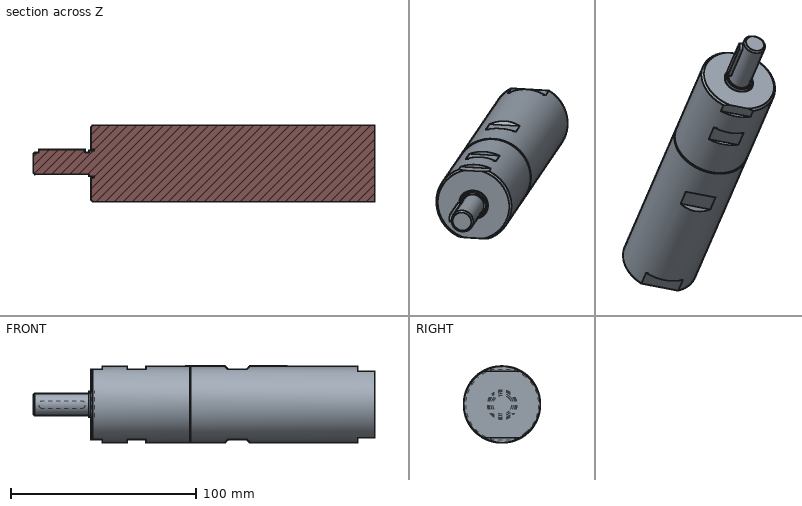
import cadquery as cq

length = 184.5
body_diameter = 41.5
body_radius = body_diameter / 2
body_start = 31.2
body_front_chamfer = 1.1

shaft_diameter = 12.0
shaft_tip_chamfer = 1.0
shoulder_diameter = 14.0
shoulder_start = 30.0

bore_diameter = 15.0
bore_mouth_diameter = 16.0
bore_chamfer = (bore_mouth_diameter - bore_diameter) / 2
bore_depth = 1.8

key_start = 3.0
key_length = 25.0
key_width = 4.0
key_top = 7.5
key_bottom = 3.7

groove_start = 84.5
groove_width = 0.5
groove_depth = 0.28

flat_across = 38.0
front_flat_end = 37.3
second_flat_start = 51.0
second_flat_end = 60.9
middle_flat_start = 105.2
middle_flat_end = 115.3
rear_flat_start = 175.3
rear_flat_across = 36.0


def rod(start, end, diameter):
    """Cylinder along X from start to end."""
    return cq.Workplane("YZ", origin=(start, 0, 0)).circle(diameter / 2).extrude(end - start)


def flat_pair(start, end, across, ramped=False):
    """Cutters for two opposite flats; ramped ends rise at 45 degrees."""
    half_across = across / 2
    cutter_height = body_diameter - across
    outer = half_across + cutter_height
    ramp_run = cutter_height if ramped else 0.0
    upper = (
        cq.Workplane("XZ")
        .polyline(
            [
                (start, half_across),
                (end, half_across),
                (end + ramp_run, outer),
                (start - ramp_run, outer),
            ]
        )
        .close()
        .extrude(body_radius, both=True)
    )
    return upper.union(upper.mirror("XY"))


body = rod(body_start, length, body_diameter).faces("<X").chamfer(body_front_chamfer)

groove_end = groove_start + groove_width
groove_core = rod(groove_start, groove_end, body_diameter - 2 * groove_depth)
groove = rod(groove_start, groove_end, body_diameter).cut(groove_core)
body = body.cut(groove)

body = body.cut(flat_pair(body_start, front_flat_end, flat_across))
body = body.cut(flat_pair(second_flat_start, second_flat_end, flat_across))
body = body.cut(flat_pair(middle_flat_start, middle_flat_end, flat_across, ramped=True))
body = body.cut(flat_pair(rear_flat_start, length, rear_flat_across))

bore_end = body_start + bore_depth
bore_mouth = (
    cq.Workplane("YZ", origin=(body_start, 0, 0))
    .circle(bore_mouth_diameter / 2)
    .workplane(offset=bore_chamfer)
    .circle(bore_diameter / 2)
    .loft()
)
body = body.cut(rod(body_start, bore_end, bore_diameter)).cut(bore_mouth)

shaft = rod(0, bore_end, shaft_diameter).faces("<X").chamfer(shaft_tip_chamfer)
shoulder = rod(shoulder_start, bore_end, shoulder_diameter)
key = (
    cq.Workplane("XZ", origin=(key_start + key_length / 2, key_bottom, 0))
    .slot2D(key_length, key_width)
    .extrude(key_bottom - key_top)
)

result = body.union(shoulder).union(shaft).union(key)